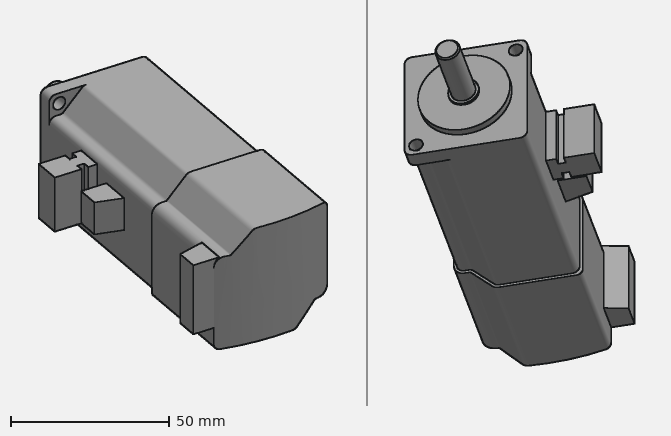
import cadquery as cq
import math


motor_size = 40.0
motor_length = 69.3
flange_thickness = 5.3
corner_radius = 2.5
pilot_radius = 15.0
pilot_height = 2.5

relief_floor = 12.0
relief_inner_y = 15.2
relief_wall_radius = 1.75
screw_hole_offset = 16.25
screw_hole_diameter = 4.5

cover_step = 1.0
cover_corner_radius = 2.0
cover_end_x = 109.75
dome_radius = 80.0

shaft_radius = 4.0
shaft_tip_x = -24.75
shaft_chamfer = 0.5
collar_radius = 5.0
collar_length = 0.8

plug_x = 24.7
plug_width = 9.8
plug_height = 20.0
plug_tip_y = -35.7
plug_groove_depth = 2.5
plug_groove_near_y = -23.3
plug_groove_width = 2.5

socket_x = 40.1
socket_base_width = 10.7
socket_tip_width = 8.1
socket_height = 11.8
socket_tip_y = -29.4

rear_socket_base_width = 10.0
rear_socket_tip_width = 8.0
rear_socket_height = 25.5
rear_socket_tip_y = -28.6

motor_half = motor_size / 2
cover_half = motor_half + cover_step
pilot_face_x = -pilot_height
collar_face_x = pilot_face_x - collar_length
cover_edge_x = cover_end_x - dome_radius + math.sqrt(dome_radius**2 - cover_half**2)
root_depth = 2.0


def round_edge_pair(body, x, y, z, radius):
    """Round the edge along X nearest to (y, z) and its twin on the opposite side of the axis."""
    edge_pair = body.newObject([])
    for sign in (1, -1):
        nearest = cq.selectors.NearestToPointSelector((x, sign * y, sign * z))
        edge_pair = edge_pair.add(body.edges("|X").edges(nearest))
    return edge_pair.fillet(radius)


def relieved_prism(x_start, x_end, step, plain_corner_radius):
    """Square prism with two relieved corners, its outline grown by step and its long edges rounded."""
    half = motor_half + step
    floor = relief_floor + step
    foot = relief_inner_y + step * math.tan(math.pi / 8)
    shoulder = foot - (half - floor)
    points = [
        (-half, -half),
        (shoulder, -half),
        (foot, -floor),
        (half, -floor),
        (half, half),
        (-shoulder, half),
        (-foot, floor),
        (-half, floor),
    ]
    outline = cq.Workplane("YZ", origin=(x_start, 0, 0)).polyline(points).close()
    body = outline.extrude(x_end - x_start)
    middle_x = (x_start + x_end) / 2
    body = round_edge_pair(body, middle_x, half, half, plain_corner_radius)
    body = round_edge_pair(body, middle_x, -half, floor, corner_radius + step)
    body = round_edge_pair(body, middle_x, -shoulder, half, relief_wall_radius + step)
    return round_edge_pair(body, middle_x, -foot, floor, relief_wall_radius - step)


def make_flange():
    """Square mounting flange with its centring pilot and two screw holes."""
    flange = (
        cq.Workplane("YZ")
        .rect(motor_size, motor_size)
        .extrude(flange_thickness)
        .edges("|X")
        .fillet(corner_radius)
    )
    holes = (
        cq.Workplane("YZ")
        .pushPoints([(-screw_hole_offset, screw_hole_offset), (screw_hole_offset, -screw_hole_offset)])
        .circle(screw_hole_diameter / 2)
        .extrude(flange_thickness)
    )
    pilot = cq.Workplane("YZ").circle(pilot_radius).extrude(-pilot_height)
    return flange.cut(holes).union(pilot)


def make_cover():
    """Rear cover, its end domed about a vertical axis."""
    cover = relieved_prism(motor_length, cover_end_x, cover_step, cover_corner_radius)
    dome = (
        cq.Workplane("XY", origin=(0, 0, -cover_half))
        .moveTo(motor_length, -cover_half)
        .lineTo(cover_edge_x, -cover_half)
        .threePointArc((cover_end_x, 0), (cover_edge_x, cover_half))
        .lineTo(motor_length, cover_half)
        .close()
        .extrude(2 * cover_half)
    )
    return cover.intersect(dome)


def tapered_socket(straight_x, direction, face_y, base_width, tip_width, tip_y, height):
    """Socket with one straight side; the other side, towards direction, slopes in to the tip."""
    root_y = face_y + root_depth
    slope = (base_width - tip_width) / (face_y - tip_y)
    root_width = base_width + slope * root_depth
    points = [
        (straight_x, root_y),
        (straight_x, tip_y),
        (straight_x + direction * tip_width, tip_y),
        (straight_x + direction * root_width, root_y),
    ]
    return cq.Workplane("XY").polyline(points).close().extrude(height / 2, both=True)


def make_plug():
    """Rectangular plug with a groove down each side."""
    root_y = -motor_half + root_depth
    middle_x = plug_x + plug_width / 2
    block = (
        cq.Workplane("XY")
        .center(middle_x, (root_y + plug_tip_y) / 2)
        .rect(plug_width, root_y - plug_tip_y)
        .extrude(plug_height / 2, both=True)
    )
    for side_x in (plug_x, plug_x + plug_width):
        groove = (
            cq.Workplane("XY")
            .center(side_x, plug_groove_near_y - plug_groove_width / 2)
            .rect(2 * plug_groove_depth, plug_groove_width)
            .extrude(plug_height / 2, both=True)
        )
        block = block.cut(groove)
    return block


def make_motor():
    """Complete housing: flange, body, rear cover and connectors."""
    socket = tapered_socket(
        socket_x, 1, -motor_half, socket_base_width, socket_tip_width, socket_tip_y, socket_height
    )
    rear_socket = tapered_socket(
        cover_edge_x,
        -1,
        -cover_half,
        rear_socket_base_width,
        rear_socket_tip_width,
        rear_socket_tip_y,
        rear_socket_height,
    )
    return (
        make_flange()
        .union(relieved_prism(flange_thickness, motor_length, 0, corner_radius))
        .union(make_cover())
        .union(make_plug())
        .union(socket)
        .union(rear_socket)
    )


def make_shaft():
    """Output shaft with the collar that stands against the pilot face."""
    collar = cq.Workplane("YZ", origin=(pilot_face_x, 0, 0)).circle(collar_radius).extrude(-collar_length)
    shaft = (
        cq.Workplane("YZ", origin=(collar_face_x, 0, 0))
        .circle(shaft_radius)
        .extrude(shaft_tip_x - collar_face_x)
        .faces("<X")
        .chamfer(shaft_chamfer)
    )
    return collar.union(shaft)


motor = make_motor()
shaft = make_shaft()

result = cq.Compound.makeCompound([motor.val(), shaft.val()])